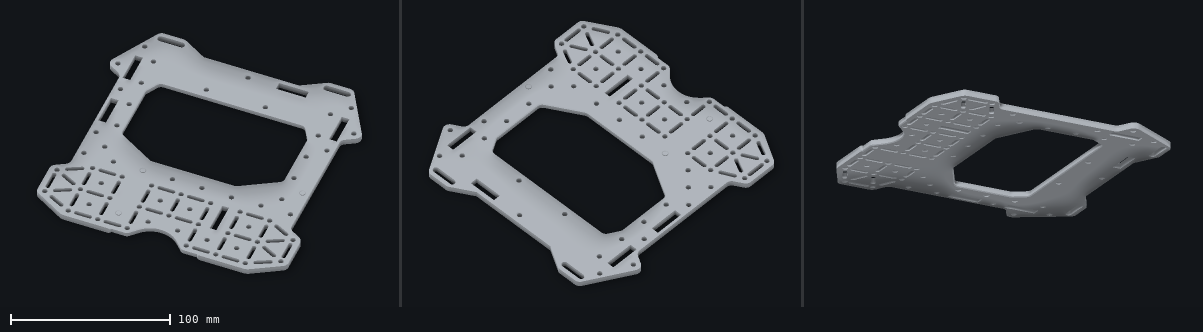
import cadquery as cq
import math

PLATE_SIZE = 170.0
THICKNESS = 4.0
PITCH = PLATE_SIZE / 17
EDGE_CHAMFER = 0.6

SLOPE = math.tan(math.radians(30))
CORNER_RADIUS = 4.5
FOOT_RADIUS = 7.6
BACK_EDGE = 75.5
WAIST_HALF_WIDTH = 74.6
EAR_TIP_ROW = 5
EAR_INNER_COLUMN = 5
SIDE_FLAT_ROW = -6
SIDE_FLAT_LENGTH = 19.2
RECESS_HALF_WIDTH = 30.0
RECESS_DEPTH = 1.0
ARCH_RADIUS = 18.0
ARCH_TOP = -73.0
ARCH_END_RADIUS = 3.4

WINDOW_HALF_WIDTH = 54.9
WINDOW_TOP = 44.5
WINDOW_BOTTOM = -20.0
WINDOW_TOP_HALF_WIDTH = 49.1
WINDOW_BOTTOM_HALF_WIDTH = 28.9
WINDOW_RADIUS = 4.0

HOLE_DIAMETER = 3.5
FASTENER_DIAMETER = 3.4
COUNTERSINK_DIAMETER = 4.6
COUNTERSINK_ANGLE = 90
SLOT_WIDTH = 2.9
SLOT_LENGTH = 12.0
FOOT_SLOT_LENGTH = 14.0
BRACE_SLOT_LENGTH = 12.2
BRACE_ANGLE = math.degrees(math.atan(1 / 2))
STRAP_SLOT_WIDTH = 4.0
STRAP_SLOT_LENGTH = 18.5
STRAP_SLOT_CENTRE = 56.3
BACK_BAR = (20.2, 5.3)
SIDE_BAR = (5.3, 20.9)
FRONT_BAR = (4.6, 20.9)

SELECTION_MARGIN = 0.2
OUTLINE_CLEARANCE = 1.7

PLAIN_HOLES = [
    (7, 7), (6, 6), (8, 5), (2, 5), (6, 4), (7, 3), (6, 2), (6, 0), (6, -2),
    (7, -3), (5, -3), (1, -3), (6, -4), (4, -4), (2, -4), (0, -4),
    (8, -5), (5, -5), (1, -5), (6, -6), (4, -6), (2, -6), (0, -6),
    (8, -7), (5, -7), (1, -7), (6, -8), (4, -8), (2, -8),
]
FASTENER_HOLES = [(0, 7), (7, -1), (3, -3), (3, -7)]
CROSSWISE_SLOTS = [(5, -4), (1, -4), (5, -6), (1, -6), (5, -8), (3, -8)]
LENGTHWISE_SLOTS = [(6, -5), (4, -5), (2, -5), (0, -5), (6, -7), (4, -7), (2, -7)]
BRACE_SLOTS = [(7, -4.5), (7, -5.5), (7, -6.5), (7, -7.5)]
FOOT_SLOT = (8, -6)
STRAP_SLOT_ROW = 8
BACK_BAR_OPENING = (3, 7)
SIDE_BAR_OPENINGS = [(7, 5), (7, 1)]
FRONT_BAR_OPENING = (3, -5)

BACK_BAR_PLACE = (-3, 7)
SIDE_BAR_PLACE = (7, 1)
FRONT_BAR_PLACE = (-3, -5)
PLUG_PLACES = [(7, -1), (-3, -3), (-3, -7)]


def on_grid(places):
    return [(column * PITCH, row * PITCH) for column, row in places]


def mirrored(places):
    return sorted({(side * column, row) for column, row in places for side in (1, -1)})


def mirror_outline(points):
    """Right half listed from the back to the front, closed by its mirror image."""
    return points + [(-x, y) for x, y in reversed(points)]


def corner(x, y, first_angle, second_angle):
    """Where the two edges meet that touch a corner arc about (x, y), given their outward normals in degrees."""
    middle = math.radians((first_angle + second_angle) / 2)
    reach = CORNER_RADIUS / math.cos(math.radians((first_angle - second_angle) / 2))
    return x + reach * math.cos(middle), y + reach * math.sin(middle)


def prism(points):
    return cq.Workplane("XY").polyline(points).close().extrude(THICKNESS)


def round_corners(body, points, radius):
    """Fillet the upright edges of the body at the given points and at their mirror images."""
    probe = SELECTION_MARGIN
    for x, y in points:
        for side in (1, -1):
            box = cq.selectors.BoxSelector(
                (side * x - probe, y - probe, -probe), (side * x + probe, y + probe, THICKNESS + probe)
            )
            body = body.edges("|Z").edges(box).fillet(radius)
    return body


def chamfer_rims(body, half_width, front, back):
    """Chamfer the top and bottom edges that lie inside a rectangle."""
    for z in (0, THICKNESS):
        low, high = z - SELECTION_MARGIN, z + SELECTION_MARGIN
        box = cq.selectors.BoxSelector((-half_width, front, low), (half_width, back, high))
        body = body.edges(box).chamfer(EDGE_CHAMFER)
    return body


def plate_blank():
    half = PLATE_SIZE / 2
    waist = WAIST_HALF_WIDTH
    arc_limit = half - CORNER_RADIUS
    tip_y = EAR_TIP_ROW * PITCH
    side_middle = SIDE_FLAT_ROW * PITCH
    ear_inner = corner(EAR_INNER_COLUMN * PITCH, arc_limit, 90, 120)
    ear_outer = corner(arc_limit - (arc_limit - tip_y) * SLOPE, arc_limit, 90, 30)
    ear_tip = corner(arc_limit, tip_y, 30, -60)
    shoulder = corner(arc_limit, side_middle + SIDE_FLAT_LENGTH / 2, 60, 0)
    toe = corner(arc_limit, side_middle - SIDE_FLAT_LENGTH / 2, 0, -60)
    ear_root = (ear_inner[0] - (ear_inner[1] - BACK_EDGE) / SLOPE, BACK_EDGE)
    waist_back = (waist, ear_tip[1] - (ear_tip[0] - waist) * SLOPE)
    waist_front = (waist, shoulder[1] + (shoulder[0] - waist) * SLOPE)
    foot = (toe[0] - (toe[1] + half) / SLOPE, -half)
    blank = prism(mirror_outline([
        ear_root, ear_inner, ear_outer, ear_tip, waist_back, waist_front, shoulder, toe, foot,
    ]))
    side_corners = [ear_inner, ear_outer, ear_tip, waist_back, waist_front, shoulder, toe]
    blank = round_corners(blank, side_corners, CORNER_RADIUS)
    return round_corners(blank, [foot], FOOT_RADIUS)


def cut_front_recess(plate):
    """Shallow recess in the front edge with an arch in its middle."""
    outside = -PLATE_SIZE / 2
    edge = outside + RECESS_DEPTH
    arch_side = ARCH_RADIUS * math.sin(math.pi / 4)
    arch_foot = ARCH_TOP - ARCH_RADIUS + arch_side
    arch_end = (arch_side + arch_foot - edge, edge)
    recess = (
        cq.Workplane("XY")
        .moveTo(-RECESS_HALF_WIDTH, outside)
        .lineTo(-RECESS_HALF_WIDTH + RECESS_DEPTH, edge)
        .lineTo(-arch_end[0], edge)
        .lineTo(-arch_side, arch_foot)
        .threePointArc((0, ARCH_TOP), (arch_side, arch_foot))
        .lineTo(*arch_end)
        .lineTo(RECESS_HALF_WIDTH - RECESS_DEPTH, edge)
        .lineTo(RECESS_HALF_WIDTH, outside)
        .close()
        .extrude(THICKNESS)
    )
    plate = plate.cut(round_corners(recess, [arch_end], ARCH_END_RADIUS))
    rim_front = outside + SELECTION_MARGIN
    return chamfer_rims(plate, RECESS_HALF_WIDTH, rim_front, ARCH_TOP + OUTLINE_CLEARANCE)


def cut_window(plate):
    side_back = WINDOW_TOP - (WINDOW_HALF_WIDTH - WINDOW_TOP_HALF_WIDTH) / SLOPE
    side_front = WINDOW_BOTTOM + (WINDOW_HALF_WIDTH - WINDOW_BOTTOM_HALF_WIDTH) * SLOPE
    corners = [
        (WINDOW_TOP_HALF_WIDTH, WINDOW_TOP),
        (WINDOW_HALF_WIDTH, side_back),
        (WINDOW_HALF_WIDTH, side_front),
        (WINDOW_BOTTOM_HALF_WIDTH, WINDOW_BOTTOM),
    ]
    window = round_corners(prism(mirror_outline(corners)), corners, WINDOW_RADIUS)
    half_width = WINDOW_HALF_WIDTH + OUTLINE_CLEARANCE
    front = WINDOW_BOTTOM - OUTLINE_CLEARANCE
    back = WINDOW_TOP + OUTLINE_CLEARANCE
    return chamfer_rims(plate.cut(window), half_width, front, back)


def slot_cutter(places, length, width, angle):
    return cq.Workplane("XY").pushPoints(on_grid(places)).slot2D(length, width, angle).extrude(THICKNESS)


def cut_slots(plate):
    plate = plate.cut(slot_cutter(mirrored(CROSSWISE_SLOTS), SLOT_LENGTH, SLOT_WIDTH, 0))
    plate = plate.cut(slot_cutter(mirrored(LENGTHWISE_SLOTS), SLOT_LENGTH, SLOT_WIDTH, 90))
    plate = plate.cut(slot_cutter(mirrored([FOOT_SLOT]), FOOT_SLOT_LENGTH, SLOT_WIDTH, 90))
    for number, (column, row) in enumerate(BRACE_SLOTS):
        for side in (1, -1):
            angle = side * BRACE_ANGLE * (-1) ** (number + 1)
            plate = plate.cut(slot_cutter([(side * column, row)], BRACE_SLOT_LENGTH, SLOT_WIDTH, angle))
    strap_slots = mirrored([(STRAP_SLOT_CENTRE / PITCH, STRAP_SLOT_ROW)])
    return plate.cut(slot_cutter(strap_slots, STRAP_SLOT_LENGTH, STRAP_SLOT_WIDTH, 0))


def bar_prisms(places, size):
    return cq.Workplane("XY").pushPoints(on_grid(places)).rect(*size).extrude(THICKNESS)


def cut_bar_openings(plate):
    plate = plate.cut(bar_prisms(mirrored([BACK_BAR_OPENING]), BACK_BAR))
    plate = plate.cut(bar_prisms(mirrored(SIDE_BAR_OPENINGS), SIDE_BAR))
    return plate.cut(bar_prisms(mirrored([FRONT_BAR_OPENING]), FRONT_BAR))


def cut_holes(plate):
    plain = cq.Workplane("XY").pushPoints(on_grid(mirrored(PLAIN_HOLES)))
    plate = plate.cut(plain.circle(HOLE_DIAMETER / 2).extrude(THICKNESS))
    top = plate.faces(">Z").workplane(origin=(0, 0, THICKNESS))
    fasteners = top.pushPoints(on_grid(mirrored(FASTENER_HOLES)))
    return fasteners.cskHole(FASTENER_DIAMETER, COUNTERSINK_DIAMETER, COUNTERSINK_ANGLE)


plate = cut_holes(cut_bar_openings(cut_slots(cut_window(cut_front_recess(plate_blank())))))

back_bar = bar_prisms([BACK_BAR_PLACE], BACK_BAR)
side_bar = bar_prisms([SIDE_BAR_PLACE], SIDE_BAR)
front_bar = bar_prisms([FRONT_BAR_PLACE], FRONT_BAR)
plugs = [
    cq.Workplane("XY").center(x, y).circle(FASTENER_DIAMETER / 2).extrude(THICKNESS)
    for x, y in on_grid(PLUG_PLACES)
]

result = cq.Compound.makeCompound(
    [plate.val(), back_bar.val(), side_bar.val(), front_bar.val(), *[plug.val() for plug in plugs]]
)